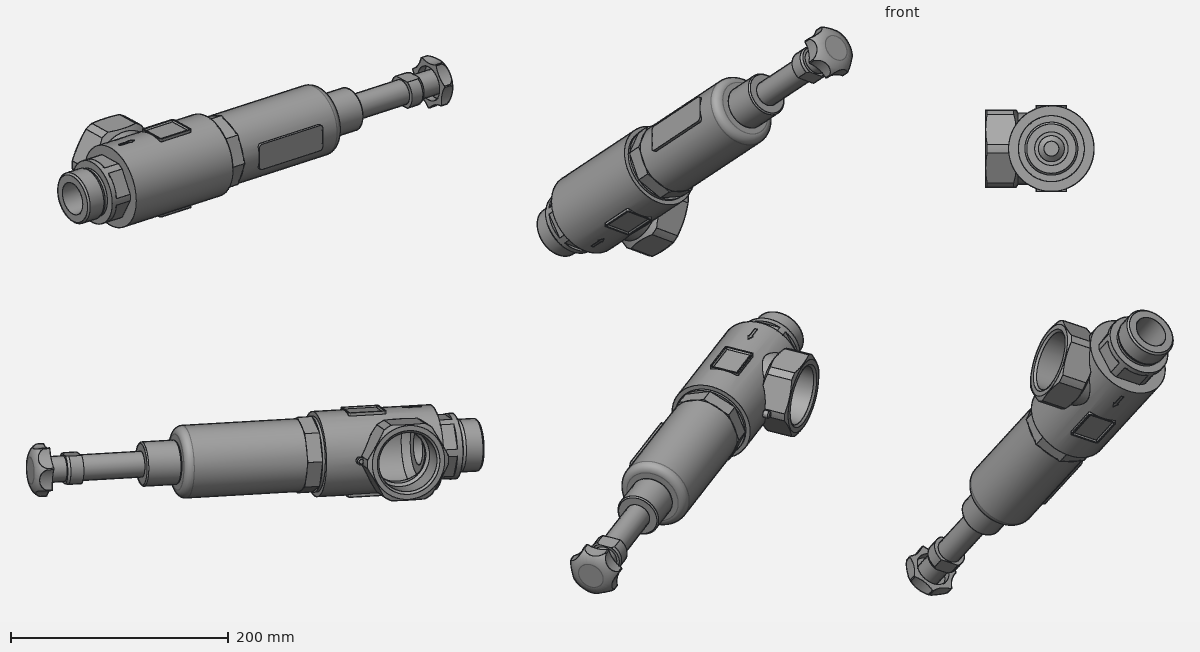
import cadquery as cq
import math

LENGTH = 427.0

INLET_FLATS_START = 27.8
BODY_START = 43.5
BODY_END = 155.5
OCTAGON_START = 158.0
OCTAGON_END = 172.0
BONNET_END = 288.0
GUIDE_END = 321.0
LOCK_NUT_START = 380.5
LOCK_NUT_END = 395.5
KNOB_START = 411.5

THREAD_RADIUS = 24.5
THREAD_START_CHAMFER = 1.5
RELIEF_RADIUS = 23.0
RELIEF_START = 20.0
THREAD_END = 17.5
FLANGE_START = 22.5
FLANGE_RADIUS = 30.5
INLET_HEX_FLATS = 55.5
INLET_BORE_RADIUS = 15.5

BODY_RADIUS = 39.3
CHAMBER_RADIUS = 33.5
CHAMBER_FLOOR = 63.0
SEAT_RADIUS = 25.5
SEAT_FLOOR = 57.0

OUTLET_FACE_X = -60.5
OUTLET_BACK_X = -30.7
OUTLET_Y = 83.3
OUTLET_HEX_FLATS = 71.0
OUTLET_CORNER_RADIUS = 39.0
OUTLET_FACE_RADIUS = 34.5
OUTLET_FRONT_CHAMFER = 1.5
OUTLET_BACK_CHAMFER = 4.0
OUTLET_NECK_RADIUS = 33.0
OUTLET_THREAD_RADIUS = 27.8
OUTLET_THREAD_DEPTH = 26.5
OUTLET_CONE_LENGTH = 3.5
OUTLET_MOUTH_RADIUS = 30.0
OUTLET_BORE_RADIUS = 25.0

STUD_Y = 124.0
STUD_RADIUS = 3.5
STUD_TIP_X = -45.3
STUD_CHAMFER = 1.3

ACROSS_BADGES = 79.0
BADGE_TOP = ACROSS_BADGES / 2
BADGE_WIDTH = 28.0
BADGE_START = 91.0
BADGE_END = 127.0
BADGE_RIM = 1.3
BADGE_RECESS = 1.3
BADGE_RECESS_TAPER = 45
BADGE_CORNER_RADIUS = 1.5
ARROW_TIP = 71.7
ARROW_HEAD_BASE = 66.0
ARROW_TAIL = 54.0
ARROW_HEAD_HALF = 2.5
ARROW_SHAFT_HALF = 1.3
ARROW_DEPTH = 0.5

BONNET_DIAMETER = 67.0
BONNET_RADIUS = BONNET_DIAMETER / 2
BONNET_FILLET = 7.5
OCTAGON_CORNER_RADIUS = 35.5
BONNET_COLLAR_RADIUS = 35.0
LABEL_TOP = 33.7
LABEL_WIDTH = 25.5
LABEL_START = 190.0
LABEL_END = 263.5
LABEL_CORNER_RADIUS = 3.5

SPINDLE_RADIUS = 12.0
SPINDLE_START = 145.0
SPINDLE_END = 422.7
SPINDLE_TIP_CHAMFER = 5.0
GUIDE_RADIUS = 20.5
GUIDE_CHAMFER = 1.3
LOCK_NUT_RADIUS = 16.0
LOCK_NUT_FLATS = 26.5
LOCK_NUT_CHAMFER_LENGTH = 2.5
LOCK_NUT_CHAMFER_DEPTH = 1.3

KNOB_RADIUS = 24.8
KNOB_SHOULDER_Y = 418.0
KNOB_DOME_MIDDLE = (21.5, 423.0)
KNOB_TOP_RADIUS = 12.5
KNOB_RECESS_RADIUS = 16.5
KNOB_RECESS_DEPTH = 7.5
LOBES = 7
SCALLOP_RADIUS = 25.5
SCALLOP_BOTTOM_RADIUS = 20.5


def cylinder(radius, start, end):
    """Cylinder on the valve axis between two Y stations."""
    return cq.Workplane("XZ", origin=(0, start, 0)).circle(radius).extrude(start - end)


def prism(sides, corner_radius, start, end):
    """Regular prism on the valve axis with a corner pointing to +X."""
    return (
        cq.Workplane("XZ", origin=(0, start, 0))
        .polygon(sides, 2 * corner_radius)
        .extrude(start - end)
    )


def side_cylinder(radius, start_x, end_x, y):
    """Cylinder parallel to X at height Z = 0."""
    return cq.Workplane("YZ", origin=(start_x, y, 0)).circle(radius).extrude(end_x - start_x)


def hex_corner_radius(across_flats):
    return across_flats / 2 / math.cos(math.pi / 6)


def revolve_about_y(profile):
    return profile.close().revolve(360, (0, 0, 0), (0, 1, 0))


def make_inlet_fitting():
    threaded_end = revolve_about_y(
        cq.Workplane("XY")
        .moveTo(0, 0)
        .lineTo(THREAD_RADIUS - THREAD_START_CHAMFER, 0)
        .lineTo(THREAD_RADIUS, THREAD_START_CHAMFER)
        .lineTo(THREAD_RADIUS, THREAD_END)
        .lineTo(RELIEF_RADIUS, RELIEF_START)
        .lineTo(RELIEF_RADIUS, FLANGE_START)
        .lineTo(0, FLANGE_START)
    )
    flange = cylinder(FLANGE_RADIUS, FLANGE_START, INLET_FLATS_START)
    hexagon = prism(6, hex_corner_radius(INLET_HEX_FLATS), INLET_FLATS_START, BODY_START)
    wrench_flats = hexagon.intersect(cylinder(FLANGE_RADIUS, INLET_FLATS_START, BODY_START))
    bore = cylinder(INLET_BORE_RADIUS, 0, BODY_START)
    return threaded_end.union(flange).union(wrench_flats).cut(bore)


def make_outlet_boss():
    """Hexagonal outlet end with turned corners, and the round neck joining it to the body."""
    hexagon = (
        cq.Workplane("YZ", origin=(OUTLET_FACE_X, OUTLET_Y, 0))
        .polygon(6, 2 * hex_corner_radius(OUTLET_HEX_FLATS))
        .extrude(OUTLET_BACK_X - OUTLET_FACE_X)
    )
    turned_blank = (
        cq.Workplane("XY", origin=(0, OUTLET_Y, 0))
        .moveTo(OUTLET_FACE_X, 0)
        .lineTo(OUTLET_FACE_X, OUTLET_FACE_RADIUS)
        .lineTo(OUTLET_FACE_X + OUTLET_FRONT_CHAMFER, OUTLET_CORNER_RADIUS)
        .lineTo(OUTLET_BACK_X - OUTLET_BACK_CHAMFER, OUTLET_CORNER_RADIUS)
        .lineTo(OUTLET_BACK_X, OUTLET_NECK_RADIUS)
        .lineTo(OUTLET_BACK_X, 0)
        .close()
        .revolve(360, (0, 0, 0), (1, 0, 0))
    )
    neck = side_cylinder(OUTLET_NECK_RADIUS, OUTLET_BACK_X, 0, OUTLET_Y)
    return hexagon.intersect(turned_blank).union(neck)


def make_chamber():
    """Axial cavity: inlet bore, conical seat and a chamber open to the bonnet."""
    return revolve_about_y(
        cq.Workplane("XY")
        .moveTo(0, BODY_START)
        .lineTo(INLET_BORE_RADIUS, BODY_START)
        .lineTo(INLET_BORE_RADIUS, SEAT_FLOOR)
        .lineTo(SEAT_RADIUS, SEAT_FLOOR)
        .lineTo(CHAMBER_RADIUS, CHAMBER_FLOOR)
        .lineTo(CHAMBER_RADIUS, BODY_END)
        .lineTo(0, BODY_END)
    )


def make_outlet_cavity():
    """Outlet thread bore with a countersunk mouth, and the passage into the chamber."""
    mouth_chamfer = OUTLET_MOUTH_RADIUS - OUTLET_THREAD_RADIUS
    thread_end_x = OUTLET_FACE_X + OUTLET_THREAD_DEPTH
    return (
        cq.Workplane("XY", origin=(0, OUTLET_Y, 0))
        .moveTo(OUTLET_FACE_X, 0)
        .lineTo(OUTLET_FACE_X, OUTLET_MOUTH_RADIUS)
        .lineTo(OUTLET_FACE_X + mouth_chamfer, OUTLET_THREAD_RADIUS)
        .lineTo(thread_end_x, OUTLET_THREAD_RADIUS)
        .lineTo(thread_end_x + OUTLET_CONE_LENGTH, OUTLET_BORE_RADIUS)
        .lineTo(0, OUTLET_BORE_RADIUS)
        .lineTo(0, 0)
        .close()
        .revolve(360, (0, 0, 0), (1, 0, 0))
    )


def make_badge():
    """Flat rectangular plate standing out of the +Z side of the body."""
    middle = (BADGE_START + BADGE_END) / 2
    length = BADGE_END - BADGE_START
    return (
        cq.Workplane("XY", origin=(0, middle, CHAMBER_RADIUS))
        .rect(BADGE_WIDTH, length)
        .extrude(BADGE_TOP - CHAMBER_RADIUS)
        .edges("|Z")
        .fillet(BADGE_CORNER_RADIUS)
    )


def make_badge_recess():
    """Shallow recess with sloping walls that leaves a raised rim around the badge."""
    middle = (BADGE_START + BADGE_END) / 2
    length = BADGE_END - BADGE_START
    return (
        cq.Workplane("XY", origin=(0, middle, BADGE_TOP))
        .rect(BADGE_WIDTH - 2 * BADGE_RIM, length - 2 * BADGE_RIM)
        .extrude(-BADGE_RECESS, taper=BADGE_RECESS_TAPER)
    )


def make_arrow():
    """Flow arrow engraved in the +Z side of the body, pointing to +Y."""
    return (
        cq.Workplane("XY", origin=(0, 0, BODY_RADIUS - ARROW_DEPTH))
        .moveTo(0, ARROW_TIP)
        .lineTo(ARROW_HEAD_HALF, ARROW_HEAD_BASE)
        .lineTo(ARROW_SHAFT_HALF, ARROW_HEAD_BASE)
        .lineTo(ARROW_SHAFT_HALF, ARROW_TAIL)
        .lineTo(-ARROW_SHAFT_HALF, ARROW_TAIL)
        .lineTo(-ARROW_SHAFT_HALF, ARROW_HEAD_BASE)
        .lineTo(-ARROW_HEAD_HALF, ARROW_HEAD_BASE)
        .close()
        .extrude(ARROW_DEPTH)
    )


def make_body():
    body = cylinder(BODY_RADIUS, BODY_START, BODY_END).union(make_outlet_boss())
    stud = side_cylinder(STUD_RADIUS, STUD_TIP_X, -CHAMBER_RADIUS, STUD_Y)
    body = body.union(stud.faces("<X").chamfer(STUD_CHAMFER))
    badge = make_badge()
    marks = make_badge_recess().union(make_arrow())
    body = body.union(badge).union(badge.mirror("XY"))
    body = body.cut(marks).cut(marks.mirror("XY"))
    return body.cut(make_chamber()).cut(make_outlet_cavity())


def make_bonnet():
    collar = cylinder(BONNET_COLLAR_RADIUS, BODY_END, OCTAGON_START)
    octagon = prism(8, OCTAGON_CORNER_RADIUS, OCTAGON_START, OCTAGON_END)
    barrel = cylinder(BONNET_RADIUS, OCTAGON_END, BONNET_END).faces(">Y").edges().fillet(BONNET_FILLET)
    label = (
        cq.Workplane("YZ", origin=(0, (LABEL_START + LABEL_END) / 2, 0))
        .rect(LABEL_END - LABEL_START, LABEL_WIDTH)
        .extrude(LABEL_TOP)
        .edges("|X")
        .fillet(LABEL_CORNER_RADIUS)
    )
    bore = cylinder(SPINDLE_RADIUS, BODY_END, BONNET_END)
    return collar.union(octagon).union(barrel).union(label).cut(bore)


def make_guide_bush():
    bush = cylinder(GUIDE_RADIUS, BONNET_END, GUIDE_END).faces("<Y or >Y").edges().chamfer(GUIDE_CHAMFER)
    return bush.cut(cylinder(SPINDLE_RADIUS, BONNET_END, GUIDE_END))


def make_spindle():
    return cylinder(SPINDLE_RADIUS, SPINDLE_START, SPINDLE_END).faces("<Y").chamfer(SPINDLE_TIP_CHAMFER)


def make_lock_nut():
    """Round nut with two wrench flats facing +Z and -Z."""
    chamfer_start = LOCK_NUT_END - LOCK_NUT_CHAMFER_LENGTH
    nut = revolve_about_y(
        cq.Workplane("XY")
        .moveTo(0, LOCK_NUT_START)
        .lineTo(LOCK_NUT_RADIUS, LOCK_NUT_START)
        .lineTo(LOCK_NUT_RADIUS, chamfer_start)
        .lineTo(LOCK_NUT_RADIUS - LOCK_NUT_CHAMFER_DEPTH, LOCK_NUT_END)
        .lineTo(0, LOCK_NUT_END)
    )
    between_flats = (
        cq.Workplane("XZ", origin=(0, LOCK_NUT_START, 0))
        .rect(2 * LOCK_NUT_RADIUS, LOCK_NUT_FLATS)
        .extrude(LOCK_NUT_START - LOCK_NUT_END)
    )
    bore = cylinder(SPINDLE_RADIUS, LOCK_NUT_START, LOCK_NUT_END)
    return nut.intersect(between_flats).cut(bore)


def make_knob():
    """Domed knob with scalloped grips, the first scallop facing +Z."""
    knob = revolve_about_y(
        cq.Workplane("XY")
        .moveTo(0, KNOB_START)
        .lineTo(KNOB_RADIUS, KNOB_START)
        .lineTo(KNOB_RADIUS, KNOB_SHOULDER_Y)
        .threePointArc(KNOB_DOME_MIDDLE, (KNOB_TOP_RADIUS, LENGTH))
        .lineTo(0, LENGTH)
    )
    scallop_distance = SCALLOP_BOTTOM_RADIUS + SCALLOP_RADIUS
    for lobe in range(LOBES):
        scallop = (
            cq.Workplane("XZ", origin=(0, KNOB_START, 0))
            .center(0, scallop_distance)
            .circle(SCALLOP_RADIUS)
            .extrude(KNOB_START - LENGTH)
            .rotate((0, 0, 0), (0, 1, 0), lobe * 360 / LOBES)
        )
        knob = knob.cut(scallop)
    knob = knob.cut(cylinder(KNOB_RECESS_RADIUS, KNOB_START, KNOB_START + KNOB_RECESS_DEPTH))
    return knob.cut(cylinder(SPINDLE_RADIUS, KNOB_START, SPINDLE_END))


inlet_fitting = make_inlet_fitting()
body = make_body()
bonnet = make_bonnet()
guide_bush = make_guide_bush()
spindle = make_spindle()
lock_nut = make_lock_nut()
knob = make_knob()

result = cq.Compound.makeCompound(
    [
        inlet_fitting.val(),
        body.val(),
        bonnet.val(),
        guide_bush.val(),
        spindle.val(),
        lock_nut.val(),
        knob.val(),
    ]
)